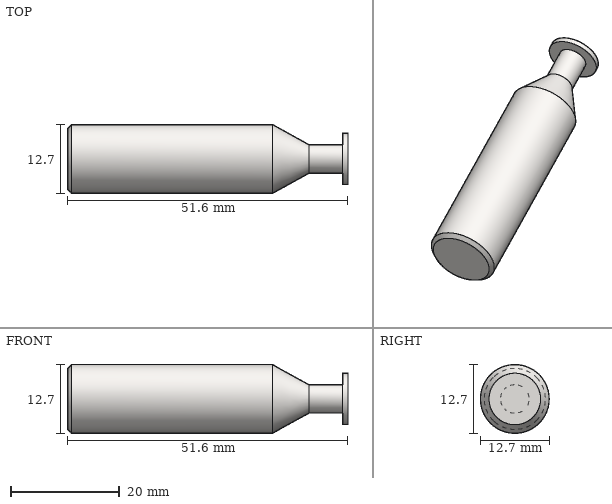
import cadquery as cq

total_length = 51.6

barrel_radius = 6.35
rear_chamfer = 0.7
cone_length = 6.7
neck_radius = 2.65
neck_length = 6.2

disc_radius = 4.75
disc_thickness = 1.0

disc_start = total_length - disc_thickness
neck_start = disc_start - neck_length
cone_start = neck_start - cone_length


def make_spindle():
    """Revolve the half profile of the barrel, cone and neck about the X axis."""
    return (
        cq.Workplane("XY")
        .moveTo(0, 0)
        .lineTo(0, barrel_radius - rear_chamfer)
        .lineTo(rear_chamfer, barrel_radius)
        .lineTo(cone_start, barrel_radius)
        .lineTo(neck_start, neck_radius)
        .lineTo(disc_start, neck_radius)
        .lineTo(disc_start, 0)
        .close()
        .revolve(360, (0, 0, 0), (1, 0, 0))
    )


def make_disc():
    """Flat disc seated against the end face of the neck."""
    return (
        cq.Workplane("YZ", origin=(disc_start, 0, 0))
        .circle(disc_radius)
        .extrude(disc_thickness)
    )


spindle = make_spindle()
disc = make_disc()

result = cq.Compound.makeCompound([spindle.val(), disc.val()])